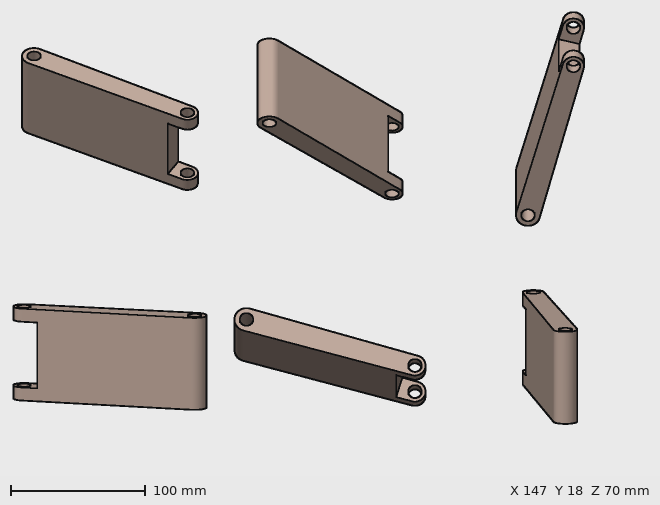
import cadquery as cq
import math

length = 147.0
height = 70.0
large_radius = 9.0
small_radius = 8.0
hole_diameter = 10.0
prong_height = 10.0
slot_depth = 20.0

pivot_spacing = length - large_radius - small_radius
radius_step = large_radius - small_radius
large_pivot = (0, 0)
small_pivot = (pivot_spacing, radius_step)

front_angle = 2 * math.atan2(radius_step, pivot_spacing)


def front_tangent(pivot, radius):
    """Point where the leaning front face touches a rounded end."""
    return (
        pivot[0] + radius * math.sin(front_angle),
        pivot[1] - radius * math.cos(front_angle),
    )


body = (
    cq.Workplane("XY")
    .moveTo(0, large_radius)
    .lineTo(pivot_spacing, large_radius)
    .threePointArc(
        (pivot_spacing + small_radius, radius_step),
        front_tangent(small_pivot, small_radius),
    )
    .lineTo(*front_tangent(large_pivot, large_radius))
    .threePointArc((-large_radius, 0), (0, large_radius))
    .close()
    .extrude(height)
)

holes = (
    cq.Workplane("XY")
    .pushPoints([large_pivot, small_pivot])
    .circle(hole_diameter / 2)
    .extrude(height)
)

slot_height = height - 2 * prong_height
slot_width = 4 * large_radius
slot = (
    cq.Workplane("XY")
    .box(slot_depth, slot_width, slot_height)
    .translate((pivot_spacing + small_radius - slot_depth / 2, 0, height / 2))
)

result = body.cut(holes).cut(slot)